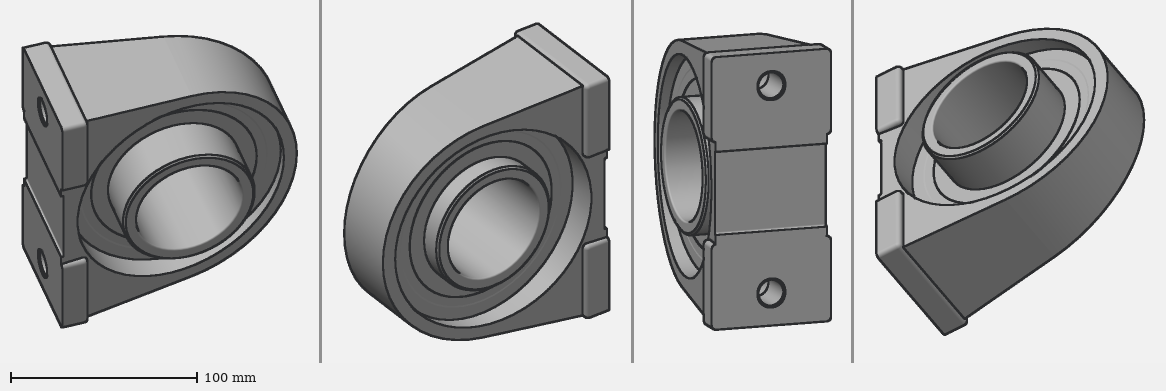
import cadquery as cq
import math


SHAFT_HEIGHT = 70.0
CROWN_RADIUS = 68.0
BASE_LENGTH = 150.0
BODY_FOOT_WIDTH = 63.5
SIDE_SLOPE = 0.1

PAD_WIDTH = 68.0
PAD_THICKNESS = 15.0
PAD_GAP = 56.0
PAD_FILLET = 2.5
RELIEF_LENGTH = 45.6
RELIEF_DEPTH = 1.5
RELIEF_FILLET = 1.1

HOLE_SPACING = 114.0
HOLE_DIAMETER = 14.2
HOLE_MOUTH_DIAMETER = 16.0
HOLE_DEPTH = 25.0
DRILL_TIP_ANGLE = 118.0

RECESS_DIAMETER = 120.8
WEB_WIDTH = 26.8
RING_DIAMETER = 106.4
RING_FACE_DIAMETER = 104.6
RING_WIDTH = 26.4
SEAL_DIAMETER = 93.7
SEAL_WIDTH = 26.0

COLLAR_DIAMETER = 74.6
COLLAR_SHORT_REACH = 25.4
COLLAR_LONG_REACH = 39.7
COLLAR_CHAMFER = 1.2
BORE_DIAMETER = 60.0
BORE_FILLET = 1.0

BASE_LEVEL = -SHAFT_HEIGHT
HALF_LENGTH = BASE_LENGTH / 2
TOTAL_HEIGHT = SHAFT_HEIGHT + CROWN_RADIUS


def disc(diameter, x_start, x_end):
    """Solid cylinder on the bearing axis between two X positions."""
    return (
        cq.Workplane("YZ", origin=(x_start, 0, 0))
        .circle(diameter / 2)
        .extrude(x_end - x_start)
    )


def make_body():
    """Round-topped outline, narrowed toward the crown by the sloping sides."""
    corner_distance = math.hypot(SHAFT_HEIGHT, HALF_LENGTH)
    flank_angle = math.acos(CROWN_RADIUS / corner_distance) - math.atan2(SHAFT_HEIGHT, HALF_LENGTH)
    tangent_y = CROWN_RADIUS * math.sin(flank_angle)
    tangent_z = CROWN_RADIUS * math.cos(flank_angle)
    outline = (
        cq.Workplane("YZ")
        .moveTo(BASE_LEVEL, -HALF_LENGTH)
        .lineTo(tangent_y, -tangent_z)
        .threePointArc((CROWN_RADIUS, 0), (tangent_y, tangent_z))
        .lineTo(BASE_LEVEL, HALF_LENGTH)
        .close()
        .extrude(BODY_FOOT_WIDTH / 2, both=True)
    )
    foot_half = BODY_FOOT_WIDTH / 2
    crown_half = foot_half - SIDE_SLOPE * TOTAL_HEIGHT
    wedge = (
        cq.Workplane("XY")
        .polyline([
            (-foot_half, BASE_LEVEL),
            (foot_half, BASE_LEVEL),
            (crown_half, CROWN_RADIUS),
            (-crown_half, CROWN_RADIUS),
        ])
        .close()
        .extrude(HALF_LENGTH, both=True)
    )
    return outline.intersect(wedge)


def make_pad(side):
    """Foot pad at the +Z (side = 1) or -Z (side = -1) end, rounded except at the mounting face."""
    pad_length = (BASE_LENGTH - PAD_GAP) / 2
    pad_centre = side * (PAD_GAP + pad_length) / 2
    return (
        cq.Workplane("XY")
        .box(PAD_WIDTH, PAD_THICKNESS, pad_length)
        .edges("|Y or >Y")
        .fillet(PAD_FILLET)
        .translate((0, BASE_LEVEL + PAD_THICKNESS / 2, pad_centre))
    )


def make_relief():
    """Shallow channel across the mounting face, with rounded floor corners."""
    return (
        cq.Workplane("XY")
        .box(PAD_WIDTH, 2 * RELIEF_DEPTH, RELIEF_LENGTH)
        .edges("|X and >Y")
        .fillet(RELIEF_FILLET)
        .translate((0, BASE_LEVEL, 0))
    )


def make_hole(z):
    """Blind hole with a chamfered mouth and a drill-point end, entering from the mounting face."""
    radius = HOLE_DIAMETER / 2
    mouth_radius = HOLE_MOUTH_DIAMETER / 2
    tip_length = radius / math.tan(math.radians(DRILL_TIP_ANGLE / 2))
    return (
        cq.Workplane("XY")
        .polyline([
            (0, 0),
            (mouth_radius, 0),
            (radius, mouth_radius - radius),
            (radius, HOLE_DEPTH),
            (0, HOLE_DEPTH + tip_length),
        ])
        .close()
        .revolve(360, (0, 0), (0, 1))
        .translate((0, BASE_LEVEL, z))
    )


def make_side_recess():
    """Stepped recess on the +X side: housing floor, outer ring edge and seal."""
    outer_x = BODY_FOOT_WIDTH / 2
    ring_x = RING_WIDTH / 2
    ring_edge = (
        cq.Workplane("YZ", origin=(ring_x, 0, 0))
        .circle(RING_FACE_DIAMETER / 2)
        .workplane(offset=WEB_WIDTH / 2 - ring_x)
        .circle(RING_DIAMETER / 2)
        .loft()
    )
    return (
        disc(RECESS_DIAMETER, WEB_WIDTH / 2, outer_x)
        .union(ring_edge)
        .union(disc(SEAL_DIAMETER, SEAL_WIDTH / 2, outer_x))
    )


def make_bore():
    """Shaft bore running the full length of the inner ring."""
    return disc(BORE_DIAMETER, -COLLAR_SHORT_REACH, COLLAR_LONG_REACH)


def make_collar():
    """Inner ring of the bearing, chamfered outside and rounded at both mouths of the bore."""
    ring = disc(COLLAR_DIAMETER, -COLLAR_SHORT_REACH, COLLAR_LONG_REACH)
    ring = ring.faces("<X or >X").chamfer(COLLAR_CHAMFER).cut(make_bore())
    for end_face in ("<X", ">X"):
        bore_edge = cq.selectors.RadiusNthSelector(0)
        ring = ring.faces(end_face).edges(bore_edge).fillet(BORE_FILLET)
    return ring


recess = make_side_recess()
result = make_body().cut(recess).cut(recess.mirror("YZ"))
for side in (-1, 1):
    result = result.union(make_pad(side))
    result = result.cut(make_hole(side * HOLE_SPACING / 2))
result = result.cut(make_relief()).cut(make_bore()).union(make_collar())